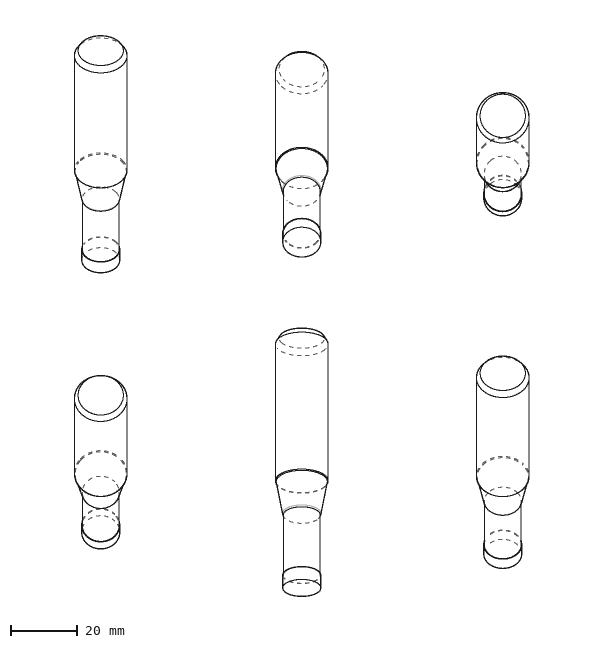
import cadquery as cq
import math

shank_diameter = 15.88
head_diameter = 11.5
neck_diameter = 11.12
taper_bottom_diameter = 11.6
taper_top_diameter = 15.4

head_top = 6.43
neck_top = 26.6
taper_bottom = 27.1
taper_top = 37.8
shank_bottom = 38.1
total_length = 86.09

point_angle = 140.0
end_chamfer_length = 1.95
end_chamfer_angle = 30.0

shank_radius = shank_diameter / 2
head_radius = head_diameter / 2
neck_radius = neck_diameter / 2
taper_bottom_radius = taper_bottom_diameter / 2
taper_top_radius = taper_top_diameter / 2
point_length = head_radius / math.tan(math.radians(point_angle / 2))
end_chamfer_width = end_chamfer_length * math.tan(math.radians(end_chamfer_angle))


def revolve_profile(points):
    """Turn a half profile of (radius, height) points about the Z axis."""
    return cq.Workplane("XZ").polyline(points).close().revolve(360, (0, 0), (0, 1))


def make_cutting_head():
    """Short cylinder ending in the conical drill point."""
    return revolve_profile([
        (0, 0),
        (head_radius, point_length),
        (head_radius, head_top),
        (0, head_top),
    ])


def make_holder():
    """Neck, bevelled taper and shank with a chamfered end."""
    return revolve_profile([
        (0, head_top),
        (neck_radius, head_top),
        (neck_radius, neck_top),
        (taper_bottom_radius, taper_bottom),
        (taper_top_radius, taper_top),
        (shank_radius, shank_bottom),
        (shank_radius, total_length - end_chamfer_length),
        (shank_radius - end_chamfer_width, total_length),
        (0, total_length),
    ])


cutting_head = make_cutting_head()
holder = make_holder()

result = cq.Compound.makeCompound([cutting_head.val(), holder.val()])